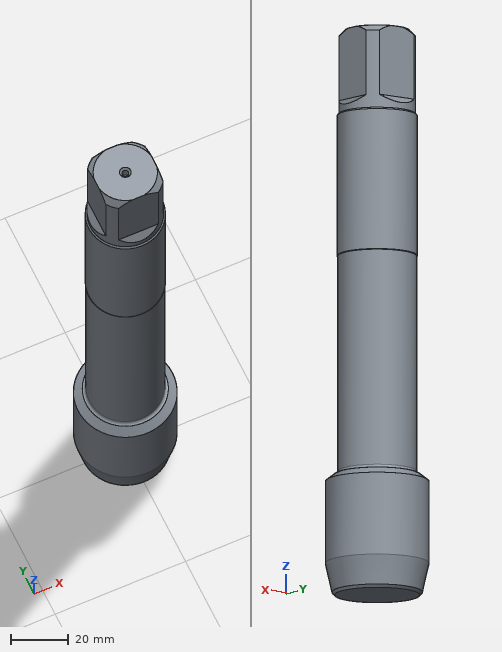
import cadquery as cq

total_length = 200.0

head_diameter = 36.2
tip_diameter = 31.5
tip_bevel = 1.0
lead_length = 11.2
head_length = 42.5
shoulder_height = 2.5

neck_diameter = 27.5
foot_fillet = 1.2
shoulder_top_diameter = neck_diameter + 2 * foot_fillet
grip_bottom = 120.0
grip_top = 170.5
grip_diameter = 28.0
grip_bevel_height = 0.5
drive_diameter = 26.8

square_width = 22.0
square_length = 25.0
corner_bevel_height = 2.2
top_diameter = 22.5

center_hole_diameter = 2.5
center_hole_mouth_diameter = 4.0
center_hole_depth = 4.0


def revolve_profile(points):
    """Turn (radius, z) points about the Z axis."""
    return cq.Workplane("XZ").polyline(points).close().revolve(360, (0, 0), (0, 1))


def make_head():
    """Cylindrical head with a tapered lead below and a conical shoulder above."""
    head_radius = head_diameter / 2
    tip_radius = tip_diameter / 2
    return revolve_profile([
        (0, 0),
        (tip_radius - tip_bevel, 0),
        (tip_radius, tip_bevel),
        (head_radius, lead_length),
        (head_radius, head_length - shoulder_height),
        (shoulder_top_diameter / 2, head_length),
        (0, head_length),
    ])


def make_turned_shank():
    """Round shank: filleted foot, neck, grip and drive end."""
    neck_radius = neck_diameter / 2
    grip_radius = grip_diameter / 2
    drive_radius = drive_diameter / 2
    foot_radius = shoulder_top_diameter / 2
    profile = (
        cq.Workplane("XZ")
        .moveTo(0, head_length)
        .lineTo(foot_radius, head_length)
        .radiusArc((neck_radius, head_length + foot_fillet), foot_fillet)
        .lineTo(neck_radius, grip_bottom)
        .lineTo(grip_radius, grip_bottom + (grip_radius - neck_radius))
        .lineTo(grip_radius, grip_top - grip_bevel_height)
        .lineTo(drive_radius, grip_top)
        .lineTo(drive_radius, total_length - corner_bevel_height)
        .lineTo(top_diameter / 2, total_length)
        .lineTo(0, total_length)
        .close()
    )
    return profile.revolve(360, (0, 0), (0, 1))


def make_square_envelope():
    """Square prism that widens at 45 degrees below the flats."""
    square_bottom = total_length - square_length
    run_out = (grip_diameter - square_width) / 2
    flats = (
        cq.Workplane("XY", origin=(0, 0, square_bottom))
        .rect(square_width, square_width)
        .extrude(square_length)
    )
    slopes = (
        cq.Workplane("XY", origin=(0, 0, square_bottom - run_out))
        .rect(grip_diameter, grip_diameter)
        .workplane(offset=run_out)
        .rect(square_width, square_width)
        .loft(ruled=True)
    )
    base_height = square_bottom - run_out - head_length
    base = (
        cq.Workplane("XY", origin=(0, 0, head_length))
        .circle(head_diameter)
        .extrude(base_height)
    )
    return base.union(slopes).union(flats)


def make_center_hole():
    """Small drilled hole with a 45 degree countersunk mouth."""
    hole_radius = center_hole_diameter / 2
    mouth_radius = center_hole_mouth_diameter / 2
    return revolve_profile([
        (0, total_length),
        (mouth_radius, total_length),
        (hole_radius, total_length - (mouth_radius - hole_radius)),
        (hole_radius, total_length - center_hole_depth),
        (0, total_length - center_hole_depth),
    ])


def make_shank():
    return make_turned_shank().intersect(make_square_envelope()).cut(make_center_hole())


head = make_head()
shank = make_shank()

result = cq.Compound.makeCompound([head.val(), shank.val()])